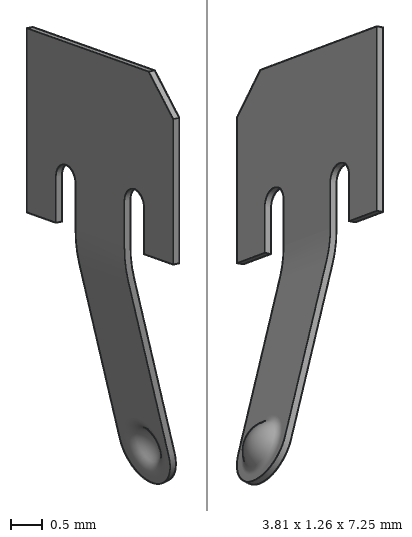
import cadquery as cq
import math

plate_width = 3.81
total_height = 7.25
sheet_thickness = 0.12

plate_height = 3.04
corner_chamfer = 0.64

slot_width = 0.51
slot_depth = 1.015

tongue_width = 1.275
bend_angle = 15.0
bend_outer_radius = 2.19

dimple_rim_radius = 0.515
dome_outer_radius = 0.5
flare_back_radius = 0.15

bend_sin = math.sin(math.radians(bend_angle))
bend_cos = math.cos(math.radians(bend_angle))
bend_end_y = bend_outer_radius * (1 - bend_cos)
bend_end_z = -bend_outer_radius * bend_sin
tongue_drop = total_height - plate_height
tongue_length = (tongue_drop + bend_end_z) / bend_cos
tongue_end_radius = tongue_width / 2
dimple_distance = tongue_length - tongue_end_radius


def make_plate():
    """Flat plate with one chamfered top corner and two round-topped slots."""
    plate = (
        cq.Workplane("XY")
        .box(plate_width, sheet_thickness, plate_height, centered=(True, False, False))
        .edges("|Y and >X and >Z")
        .chamfer(corner_chamfer)
    )
    slot_offset = (tongue_width + slot_width) / 2
    slot_radius = slot_width / 2
    straight_depth = slot_depth - slot_radius
    for side in (-1, 1):
        slot = (
            cq.Workplane("XZ")
            .moveTo(side * slot_offset - slot_radius, 0)
            .lineTo(side * slot_offset - slot_radius, straight_depth)
            .threePointArc(
                (side * slot_offset, slot_depth),
                (side * slot_offset + slot_radius, straight_depth),
            )
            .lineTo(side * slot_offset + slot_radius, 0)
            .close()
            .extrude(-sheet_thickness)
        )
        plate = plate.cut(slot)
    return plate


def make_bend():
    """Curved strip that turns the tongue from the plate towards +Y."""
    return (
        cq.Workplane("XY")
        .center(0, sheet_thickness / 2)
        .rect(tongue_width, sheet_thickness)
        .revolve(
            bend_angle,
            (-0.07, bend_outer_radius - sheet_thickness / 2),
            (0.07, bend_outer_radius - sheet_thickness / 2),
        )
    )


def tongue_plane(distance):
    """Plane on the tongue's front face, a distance past the bend, facing the back."""
    return cq.Plane(
        origin=(0, bend_end_y + distance * bend_sin, bend_end_z - distance * bend_cos),
        xDir=(1, 0, 0),
        normal=(0, bend_cos, bend_sin),
    )


def make_tongue():
    """Straight tilted strip with a round end; its local +Y runs down the tongue."""
    return (
        cq.Workplane(tongue_plane(0))
        .moveTo(-tongue_end_radius, 0)
        .lineTo(-tongue_end_radius, dimple_distance)
        .threePointArc((0, tongue_length), (tongue_end_radius, dimple_distance))
        .lineTo(tongue_end_radius, 0)
        .close()
        .extrude(sheet_thickness)
    )


def make_dimple():
    """Spherical dome of constant thickness, blended into the tongue by a flare."""
    dome_inner_radius = dome_outer_radius - sheet_thickness
    flare_front_radius = flare_back_radius + sheet_thickness
    wall_angle = math.asin(dimple_rim_radius / (dome_inner_radius + flare_front_radius))
    flare_centre = flare_front_radius
    dome_centre = flare_centre - dimple_rim_radius / math.tan(wall_angle)

    def dome_point(radius, angle):
        return radius * math.sin(angle), dome_centre + radius * math.cos(angle)

    def flare_point(radius, angle):
        return dimple_rim_radius - radius * math.sin(angle), flare_centre - radius * math.cos(angle)

    half_angle = wall_angle / 2
    plane = tongue_plane(dimple_distance)
    section_normal = plane.xDir.cross(plane.zDir)
    section_plane = cq.Plane(origin=plane.origin, xDir=plane.xDir, normal=section_normal)
    return (
        cq.Workplane(section_plane)
        .moveTo(*dome_point(dome_inner_radius, 0))
        .threePointArc(
            dome_point(dome_inner_radius, half_angle), dome_point(dome_inner_radius, wall_angle)
        )
        .threePointArc(
            flare_point(flare_front_radius, half_angle), flare_point(flare_front_radius, 0)
        )
        .lineTo(*flare_point(flare_back_radius, 0))
        .threePointArc(
            flare_point(flare_back_radius, half_angle), flare_point(flare_back_radius, wall_angle)
        )
        .threePointArc(
            dome_point(dome_outer_radius, half_angle), dome_point(dome_outer_radius, 0)
        )
        .close()
        .revolve(360, (0, 0), (0, 1))
    )


dimple_opening = (
    cq.Workplane(tongue_plane(dimple_distance)).circle(dimple_rim_radius).extrude(sheet_thickness)
)
tongue = make_tongue().cut(dimple_opening).union(make_dimple())
result = make_plate().union(make_bend()).union(tongue)